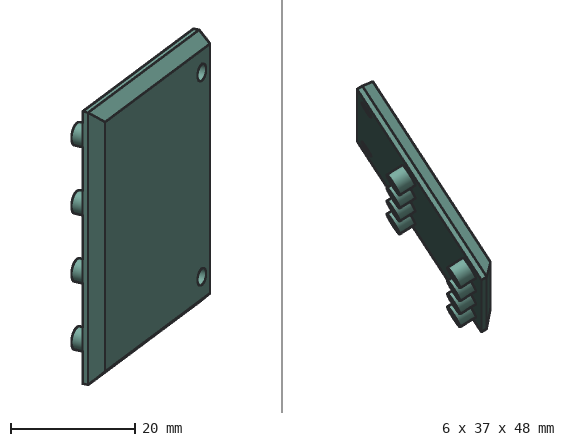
import cadquery as cq

height = 48.0
width = 37.0
total_depth = 6.0
pin_length = 3.0
plate_thickness = total_depth - pin_length
bevel = 2.0

pin_diameter = 3.9
pin_rows = 4
row_pitch = height / pin_rows
pin_column_pitch = 18.0
pin_edge_distance = 3.6

hole_diameter = 2.9
hole_edge_distance = 2.8

row_heights = [(row - (pin_rows - 1) / 2) * row_pitch for row in range(pin_rows)]
first_column_y = -width / 2 + pin_edge_distance
pin_columns = [first_column_y, first_column_y + pin_column_pitch]
hole_y = width / 2 - hole_edge_distance


def make_plate():
    """Flat plate with its +X face bevelled along the top, bottom and -Y edges."""
    plate = cq.Workplane("YZ").rect(width, height).extrude(plate_thickness)
    return plate.faces(">X").edges("<Y or >Z or <Z").chamfer(bevel)


def make_pins():
    """Grid of round pins standing out from the -X face."""
    centers = [(y, z) for y in pin_columns for z in row_heights]
    return cq.Workplane("YZ").pushPoints(centers).circle(pin_diameter / 2).extrude(-pin_length)


def make_holes():
    """Through holes level with the lowest and highest pin rows."""
    centers = [(hole_y, row_heights[0]), (hole_y, row_heights[-1])]
    return cq.Workplane("YZ").pushPoints(centers).circle(hole_diameter / 2).extrude(plate_thickness)


result = make_plate().union(make_pins()).cut(make_holes())